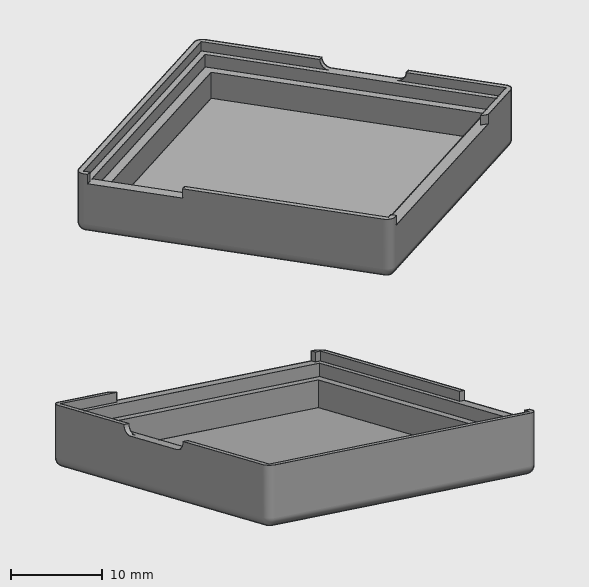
import cadquery as cq

length_x = 36.7
length_y = 38.2
height = 7.0
corner_radius = 1.0
bottom_radius = 1.0

lip_wall = 0.7
lip_height = 1.1
seat_wall = 1.4
seat_depth = 1.5
pocket_wall = 2.52
floor_thickness = 1.3

front_gap_length = 11.0
back_gap_start = 15.45
back_gap_length = 8.02
back_gap_flare = 1.0
side_gap_end = 8.67
side_gap_slant = 0.6

left = -length_x / 2
right = length_x / 2
front = -length_y / 2
back = length_y / 2
ledge_z = height - lip_height
seat_z = ledge_z - seat_depth


def cavity(wall, bottom_z):
    """Rectangular recess open at the top, inset from the outer walls."""
    return (
        cq.Workplane("XY", origin=(0, 0, bottom_z))
        .rect(length_x - 2 * wall, length_y - 2 * wall)
        .extrude(height - bottom_z)
    )


def front_gap():
    """Square-ended gap near the left end of the front lip."""
    return cq.Workplane("XY").box(front_gap_length, lip_wall, lip_height, centered=False).translate(
        (left + seat_wall, front, ledge_z)
    )


def back_gap():
    """Gap in the back lip whose ends sweep outwards in concave arcs."""
    bottom_left = left + back_gap_start
    bottom_right = bottom_left + back_gap_length
    return (
        cq.Workplane("XZ", origin=(0, back, 0))
        .moveTo(bottom_left, ledge_z)
        .lineTo(bottom_right, ledge_z)
        .radiusArc((bottom_right + back_gap_flare, height), -lip_height)
        .lineTo(bottom_left - back_gap_flare, height)
        .radiusArc((bottom_left, ledge_z), -lip_height)
        .close()
        .extrude(lip_wall)
    )


def side_gap():
    """Long gap in the right lip with a slanted end towards the back."""
    inner_x = right - lip_wall
    start_y = front + seat_wall
    end_y = back - side_gap_end
    return (
        cq.Workplane("XY", origin=(0, 0, ledge_z))
        .polyline([
            (inner_x, start_y),
            (right, start_y),
            (right, end_y + side_gap_slant),
            (inner_x, end_y),
        ])
        .close()
        .extrude(lip_height)
    )


body = (
    cq.Workplane("XY")
    .box(length_x, length_y, height, centered=(True, True, False))
    .edges("|Z")
    .fillet(corner_radius)
    .faces("<Z")
    .edges()
    .fillet(bottom_radius)
)

result = (
    body
    .cut(cavity(lip_wall, ledge_z))
    .cut(cavity(seat_wall, seat_z))
    .cut(cavity(pocket_wall, floor_thickness))
    .cut(front_gap())
    .cut(back_gap())
    .cut(side_gap())
)